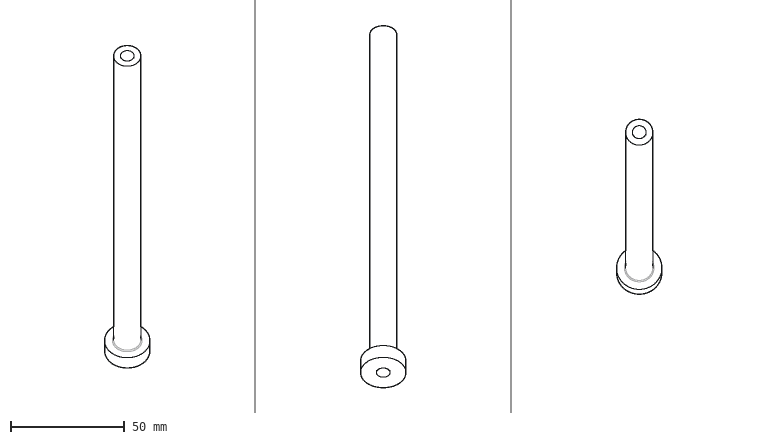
import cadquery as cq

total_length = 200.0
head_diameter = 20.0
head_height = 7.0
shaft_diameter = 12.0
bore_diameter = 6.0
neck_fillet_radius = 0.5

head_radius = head_diameter / 2
shaft_radius = shaft_diameter / 2
bore_radius = bore_diameter / 2

half_section = (
    cq.Workplane("XZ")
    .moveTo(bore_radius, 0)
    .lineTo(head_radius, 0)
    .lineTo(head_radius, head_height)
    .lineTo(shaft_radius + neck_fillet_radius, head_height)
    .radiusArc((shaft_radius, head_height + neck_fillet_radius), neck_fillet_radius)
    .lineTo(shaft_radius, total_length)
    .lineTo(bore_radius, total_length)
    .close()
)

result = half_section.revolve(360, (0, 0, 0), (0, 1, 0))